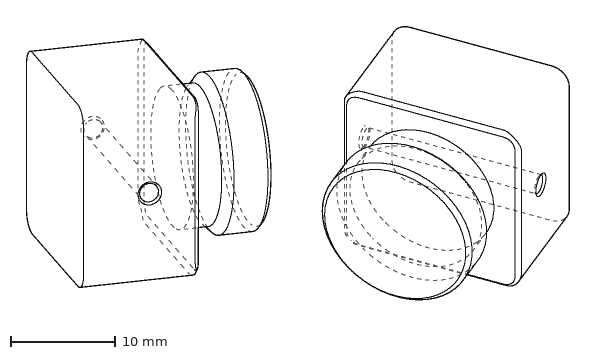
import cadquery as cq

block_width = 18.6
block_depth = 11.64
corner_radius = 1.89
edge_chamfer = 0.46

total_length = 19.27
neck_diameter = 13.85
neck_length = 2.83
head_diameter = 15.75
head_chamfer = 0.46
knob_x = 0.3

hole_diameter = 1.89
hole_mouth_diameter = 2.35
hole_y = 6.63
hole_z = 0.15


def make_block():
    prism = cq.Workplane("XY").box(block_width, block_depth, block_width, centered=(True, False, True))
    prism = prism.edges("|Y").fillet(corner_radius)
    top_width = block_width - 2 * edge_chamfer
    base_width = top_width + 2 * block_depth
    frustum = (
        cq.Workplane("XZ")
        .rect(base_width, base_width)
        .workplane(offset=-block_depth)
        .rect(top_width, top_width)
        .loft(ruled=True)
    )
    frustum = frustum.edges("not(#Y)").fillet(corner_radius)
    return prism.intersect(frustum)


def make_knob():
    neck_radius = neck_diameter / 2
    head_radius = head_diameter / 2
    cone_start = block_depth + neck_length
    cone_end = cone_start + head_radius - neck_radius
    profile = [
        (0, block_depth),
        (neck_radius, block_depth),
        (neck_radius, cone_start),
        (head_radius, cone_end),
        (head_radius, total_length - head_chamfer),
        (head_radius - head_chamfer, total_length),
        (0, total_length),
    ]
    body = cq.Workplane("XY").polyline(profile).close().revolve(360, (0, 0), (0, 1))
    return body.translate((knob_x, 0, 0))


def make_cross_hole():
    half_width = block_width / 2
    hole_radius = hole_diameter / 2
    mouth_radius = hole_mouth_diameter / 2
    mouth_depth = mouth_radius - hole_radius
    profile = [
        (-half_width, hole_y),
        (-half_width, hole_y + mouth_radius),
        (-half_width + mouth_depth, hole_y + hole_radius),
        (half_width - mouth_depth, hole_y + hole_radius),
        (half_width, hole_y + mouth_radius),
        (half_width, hole_y),
    ]
    body = cq.Workplane("XY").polyline(profile).close().revolve(360, (0, hole_y), (1, hole_y))
    return body.translate((0, 0, hole_z))


result = make_block().union(make_knob()).cut(make_cross_hole())